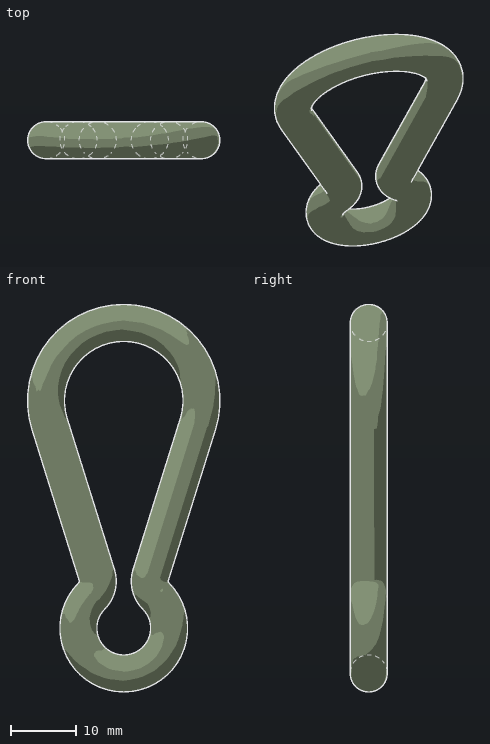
import cadquery as cq
import math

wire_diameter = 5.7
total_height = 59.65
total_width = 29.65
eye_radius = 7.0
bend_radius = 3.2
neck_gap = 2.25

wire_radius = wire_diameter / 2
bow_radius = total_width / 2 - wire_radius

bow_center = (0, total_height - 2 * wire_radius - bow_radius - eye_radius)
bend_x = -(neck_gap / 2 + wire_radius + bend_radius)
bend_z = math.sqrt((eye_radius + bend_radius) ** 2 - bend_x ** 2)
bend_center = (bend_x, bend_z)

center_drop = bow_center[1] - bend_z
center_distance = math.hypot(bend_x, center_drop)
leg_tilt = math.asin((bow_radius + bend_radius) / center_distance) - math.atan2(-bend_x, center_drop)
eye_direction = math.atan2(-bend_z, -bend_x)


def point_on_circle(center, radius, angle):
    return (center[0] + radius * math.cos(angle), center[1] + radius * math.sin(angle))


bow_top = point_on_circle(bow_center, bow_radius, math.pi / 2)
bow_end_angle = math.pi + leg_tilt
bow_middle = point_on_circle(bow_center, bow_radius, (math.pi / 2 + bow_end_angle) / 2)
bow_end = point_on_circle(bow_center, bow_radius, bow_end_angle)
bend_start = point_on_circle(bend_center, bend_radius, leg_tilt)
bend_middle = point_on_circle(bend_center, bend_radius, (leg_tilt + eye_direction) / 2)
bend_end = point_on_circle(bend_center, bend_radius, eye_direction)
eye_start_angle = eye_direction + math.pi
eye_end_angle = 3 * math.pi / 2
eye_middle = point_on_circle((0, 0), eye_radius, (eye_start_angle + eye_end_angle) / 2)
eye_bottom = (0, -eye_radius)

centerline = (
    cq.Workplane("XZ")
    .moveTo(*bow_top)
    .threePointArc(bow_middle, bow_end)
    .lineTo(*bend_start)
    .threePointArc(bend_middle, bend_end)
    .threePointArc(eye_middle, eye_bottom)
)

left_half = (
    cq.Workplane("YZ")
    .center(*bow_top)
    .circle(wire_radius)
    .sweep(centerline)
)
result = left_half.union(left_half.mirror("YZ"))